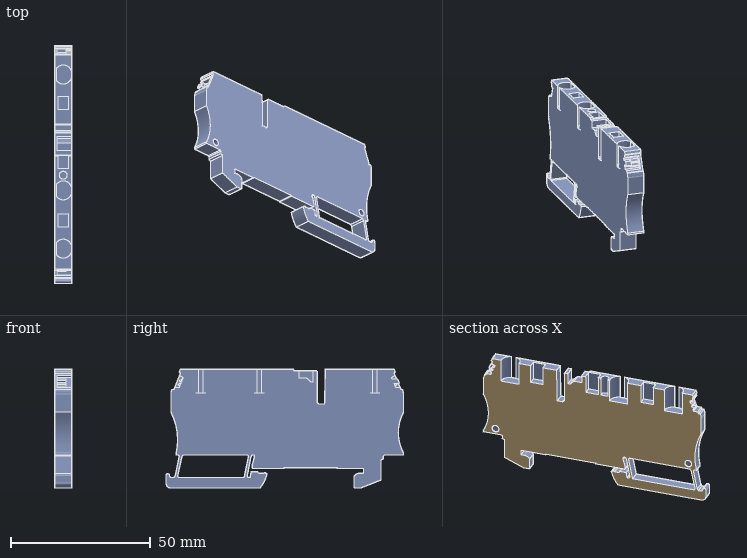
import cadquery as cq
import math

length = 85.2
height = 42.6
thickness = 6.1
half_length = length / 2
side_x = -thickness / 2
open_x = thickness / 2

flange_z = 11.8
rail_z = 7.0
window_floor_z = 3.8
shoulder_z = 33.7
shoulder_top_z = 35.3
waist_top_z = 27.25
waist_bottom_z = 12.5
lip_tip_z = 41.6
lip_root_z = 41.1

back_lip_y = 39.2
back_shoulder_y = 41.65
front_lip_y = -37.4
front_shoulder_y = -39.7
front_end_y = -40.8
lip_overhang = 0.4

wire_entry_centers = (32.3, -9.2, -30.1)
wire_entry_radius_y = 3.4
wire_entry_radius_x = 3.15
wire_entry_wall = 0.6
wire_entry_depth = 8.5
test_hole_diameter = 2.8
test_hole_y = -3.75
test_hole_depth = 6.8
side_hole_diameter = 2.5
side_hole_centers = (37.9, -35.8)
side_hole_z = 14.05
side_hole_depth = 2.55

clamp_centers = (22.05, 0.9, -20.0)
clamp_length = 4.6
clamp_width = 3.8
clamp_depth = 6.8

marker_wall = 0.85
marker_x = side_x + marker_wall
marker_step_x = 1.0
marker_cut_overrun = 0.4
end_marker_bottom_z = 36.0
end_marker_top_z = 40.6
end_marker_back_top_z = 39.6
end_marker_depth = 1.6
marker_rib_reach = 0.9
marker_rib_levels = (39.1, 37.7)
marker_rib_height = 1.2
top_marker_back_y = 10.1
top_marker_front_y = 5.0
top_marker_ramp_start_y = 9.4
top_marker_ramp_end_y = 7.8
top_marker_depth = 4.6
top_marker_step_depth = 3.15


def prism(profile, x_start, x_end):
    """Extrude a closed profile drawn in (Y, Z) from x_start to x_end."""
    return profile.extrude(x_end - x_start).translate((x_start, 0, 0))


def polygon_prism(points, x_start, x_end):
    return prism(cq.Workplane("YZ").polyline(points).close(), x_start, x_end)


def make_housing():
    profile = (
        cq.Workplane("YZ")
        .moveTo(back_lip_y, height)
        .lineTo(14.5, height)
        .lineTo(14.2, 30.15)
        .lineTo(12.2, 30.15)
        .lineTo(11.7, 30.7)
        .lineTo(11.7, 41.7)
        .lineTo(11.3, 42.1)
        .lineTo(3.5, 42.1)
        .lineTo(3.1, height)
        .lineTo(front_lip_y, height)
        .lineTo(front_lip_y - lip_overhang, lip_tip_z)
        .lineTo(front_lip_y, lip_root_z)
        .lineTo(front_shoulder_y, shoulder_top_z)
        .lineTo(-40.4, shoulder_top_z)
        .threePointArc((-40.7, 34.6), (front_end_y, shoulder_z))
        .lineTo(front_end_y, waist_top_z)
        .threePointArc((-38.4, 17.9), (-38.9, waist_bottom_z))
        .lineTo(-38.9, flange_z)
        .lineTo(-38.15, flange_z)
        .lineTo(-37.8, 11.5)
        .lineTo(-39.3, 4.4)
        .lineTo(-39.7, window_floor_z)
        .lineTo(-40.5, window_floor_z)
        .threePointArc((-41.05, 4.1), (-41.2, 4.6))
        .threePointArc((-41.9, 5.2), (-half_length, 4.6))
        .lineTo(-half_length, 1.8)
        .threePointArc((-42.1, 0.6), (-41.05, 0))
        .lineTo(-8.85, 0)
        .threePointArc((-7.4, 2.1), (-6.3, 5.1))
        .lineTo(-7.1, 5.6)
        .lineTo(-7.7, 5.4)
        .lineTo(-9.3, 5.4)
        .lineTo(-9.7, 5.9)
        .lineTo(-12.1, 5.9)
        .lineTo(-12.4, window_floor_z)
        .lineTo(-13.2, window_floor_z)
        .lineTo(-13.4, 4.4)
        .lineTo(-12.1, 11.1)
        .lineTo(-11.75, flange_z)
        .lineTo(-11.1, flange_z)
        .lineTo(-10.9, 11.1)
        .lineTo(-11.7, 8.5)
        .lineTo(-11.7, 7.2)
        .lineTo(-11.4, rail_z)
        .lineTo(-0.3, rail_z)
        .lineTo(-0.3, 7.2)
        .lineTo(18.7, 7.2)
        .lineTo(18.7, rail_z)
        .lineTo(28.1, rail_z)
        .lineTo(28.1, 5.4)
        .lineTo(26.7, 5.4)
        .threePointArc((25.55, 5.0), (24.8, 4.3))
        .lineTo(24.8, 0.25)
        .lineTo(25.0, 0)
        .lineTo(27.2, 0)
        .lineTo(34.5, 2.9)
        .lineTo(34.5, 10.05)
        .lineTo(35.3, 10.5)
        .lineTo(35.3, 11.5)
        .lineTo(35.7, flange_z)
        .lineTo(half_length, flange_z)
        .lineTo(half_length, waist_bottom_z)
        .threePointArc((40.7, 19.75), (half_length, waist_top_z))
        .lineTo(half_length, shoulder_z)
        .threePointArc((42.4, 34.6), (42.15, shoulder_top_z))
        .lineTo(back_shoulder_y, shoulder_top_z)
        .lineTo(back_lip_y, lip_root_z)
        .lineTo(back_lip_y + lip_overhang, lip_tip_z)
        .close()
    )
    return prism(profile, side_x, open_x)


def make_foot_window():
    outline = [
        (-13.0, 11.5),
        (-13.3, flange_z),
        (-36.4, flange_z),
        (-36.8, 11.15),
        (-38.3, 4.2),
        (-38.1, window_floor_z),
        (-14.6, window_floor_z),
    ]
    return polygon_prism(outline, side_x, open_x)


def make_wire_entry(center_y):
    """Elliptical funnel that breaks through the +X side and is flattened near the -X side."""
    funnel = (
        cq.Workplane("XY", origin=(0, center_y, height - wire_entry_depth))
        .ellipse(wire_entry_radius_x, wire_entry_radius_y)
        .extrude(wire_entry_depth)
    )
    keep = cq.Workplane("XY", origin=(0, center_y, height)).box(
        2 * wire_entry_radius_x, 2 * wire_entry_radius_y, 2 * wire_entry_depth
    )
    return funnel.intersect(keep.translate((side_x + wire_entry_wall + wire_entry_radius_x, 0, 0)))


def make_clamp_openings():
    return (
        cq.Workplane("XY", origin=(0, 0, height - clamp_depth))
        .pushPoints([(0, y) for y in clamp_centers])
        .rect(clamp_width, clamp_length)
        .extrude(clamp_depth)
    )


def make_test_hole():
    return (
        cq.Workplane("XY", origin=(0, test_hole_y, height - test_hole_depth))
        .circle(test_hole_diameter / 2)
        .extrude(test_hole_depth)
    )


def make_side_holes():
    holes = (
        cq.Workplane("YZ")
        .pushPoints([(y, side_hole_z) for y in side_hole_centers])
        .circle(side_hole_diameter / 2)
    )
    return prism(holes, side_x, side_x + side_hole_depth)


def make_end_marker(lip_y, shoulder_y):
    """Recess in a sloping end face, less two sawtooth ribs left on its back wall."""
    outward = math.copysign(1, lip_y)
    slope = (shoulder_y - lip_y) / (shoulder_top_z - lip_root_z)

    def point(z, depth):
        """Point at height z, measured horizontally inwards from the end face."""
        return (lip_y + slope * (z - lip_root_z) - outward * depth, z)

    recess = polygon_prism(
        [
            point(end_marker_top_z, -marker_cut_overrun),
            point(end_marker_back_top_z, end_marker_depth),
            point(end_marker_bottom_z, end_marker_depth),
            point(end_marker_bottom_z, -marker_cut_overrun),
        ],
        marker_x,
        open_x,
    )
    for rib_top_z in marker_rib_levels:
        rib_bottom_z = rib_top_z - marker_rib_height
        rib = polygon_prism(
            [
                point(rib_top_z, end_marker_depth),
                point((rib_top_z + rib_bottom_z) / 2, end_marker_depth - marker_rib_reach),
                point(rib_bottom_z, end_marker_depth),
            ],
            marker_x,
            marker_step_x,
        )
        recess = recess.cut(rib)
    return recess


def make_top_marker():
    """Recess in the marker bridge, deepest at the back, with a ramp up to a shallower floor."""
    floor_z = height - top_marker_depth
    step_z = height - top_marker_step_depth
    outline = [
        (top_marker_back_y, height),
        (top_marker_back_y, floor_z),
        (top_marker_ramp_start_y, floor_z),
        (top_marker_ramp_end_y, step_z),
        (top_marker_front_y, step_z),
        (top_marker_front_y, height),
    ]
    return polygon_prism(outline, marker_x, open_x)


def make_back_catch():
    """Small catch that stands out of the back marker recess next to the +X side."""
    outline = [(38.3, 39.1), (40.4, 39.1), (41.05, 37.7), (40.9, 37.4), (38.3, 37.4)]
    return polygon_prism(outline, marker_step_x, open_x)


result = make_housing().cut(make_foot_window())
for entry_y in wire_entry_centers:
    result = result.cut(make_wire_entry(entry_y))
result = result.cut(make_clamp_openings())
result = result.cut(make_test_hole())
result = result.cut(make_side_holes())
result = result.cut(make_end_marker(front_lip_y, front_shoulder_y))
result = result.cut(make_end_marker(back_lip_y, back_shoulder_y))
result = result.cut(make_top_marker())
result = result.union(make_back_catch())